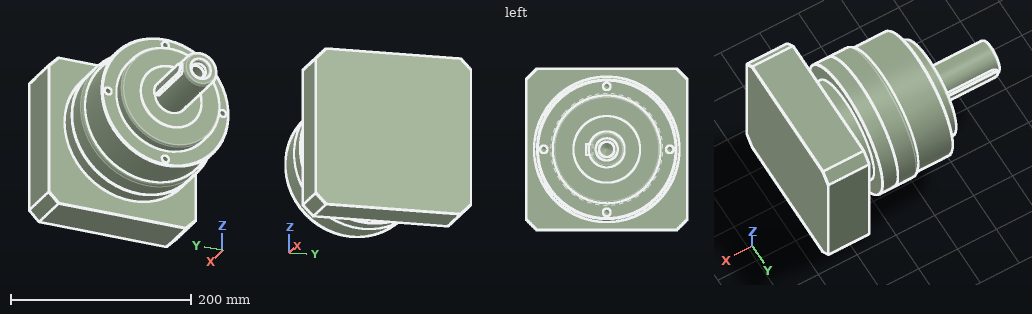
import cadquery as cq
import math


OVERALL_LENGTH = 263.0
COLLAR_FACE_X = 78.6
PILOT_FACE_X = 79.5
BODY_FACE_X = 94.5
FLANGE_START_X = 139.7
HOUSING_END_X = 167.5
RING_END_X = 187.8
PLATE_FACE_X = 209.5

SHAFT_RADIUS = 20.0
SHAFT_END_ROUND = 2.4
COLLAR_RADIUS = 37.0

CENTRE_MOUTH_RADIUS = 12.4
CENTRE_CONE_RADIUS = 10.8
CENTRE_BORE_RADIUS = 8.7
CENTRE_CORE_RADIUS = 8.5
CENTRE_CONE_HALF_ANGLE = 30.0
CENTRE_CONE_START = CENTRE_MOUTH_RADIUS - CENTRE_CONE_RADIUS
CENTRE_CONE_DROP = CENTRE_CONE_RADIUS - CENTRE_BORE_RADIUS
CENTRE_CONE_LENGTH = CENTRE_CONE_DROP / math.tan(math.radians(CENTRE_CONE_HALF_ANGLE))
CENTRE_BORE_START = CENTRE_CONE_START + CENTRE_CONE_LENGTH
CENTRE_CORE_START = 11.0
CENTRE_CORE_END = 42.0

KEY_START_X = 4.5
KEY_LENGTH = 70.2
KEY_WIDTH = 12.0
KEY_TOP_Y = 23.1
KEY_HEIGHT = 8.0
KEY_TOP_CHAMFER = 0.5

PILOT_RADIUS = 60.0
PILOT_EDGE_ROUND = 2.0
BODY_RADIUS = 77.5
BODY_EDGE_CHAMFER = 1.0
FLANGE_RADIUS = 81.0
FLANGE_EDGE_ROUND = 5.0

BOLT_COUNT = 4
BOLT_CIRCLE_RADIUS = 70.0
BOLT_HOLE_RADIUS = 4.2
BOLT_HOLE_DEPTH = 15.8

RING_EDGE_CHAMFER = 0.5
NECK_RADIUS = 62.3
PLATE_SIDE = 180.0
PLATE_CORNER_CHAMFER = 12.0
PLATE_EDGE_CHAMFER = 0.65

DRILL_POINT_ANGLE = 120.0


def drill_point_length(radius):
    return radius / math.tan(math.radians(DRILL_POINT_ANGLE / 2))


def turned(profile):
    """Revolve a profile in (X, radius) about the X axis."""
    return profile.close().revolve(360, (0, 0, 0), (1, 0, 0))


def cylinder(start_x, end_x, radius):
    return cq.Workplane("YZ", origin=(start_x, 0, 0)).circle(radius).extrude(end_x - start_x)


def make_key():
    """Parallel key with round ends, lying along the shaft."""
    return (
        cq.Workplane("XZ", origin=(KEY_START_X + KEY_LENGTH / 2, KEY_TOP_Y, 0))
        .slot2D(KEY_LENGTH, KEY_WIDTH)
        .extrude(KEY_HEIGHT)
        .faces(">Y")
        .chamfer(KEY_TOP_CHAMFER)
    )


def make_centre_hole():
    """Mouth chamfer, guide cone, bore, narrower core and drill point, all on the shaft axis."""
    tip_x = CENTRE_CORE_END + drill_point_length(CENTRE_CORE_RADIUS)
    return turned(
        cq.Workplane("XY")
        .lineTo(0, CENTRE_MOUTH_RADIUS)
        .lineTo(CENTRE_CONE_START, CENTRE_CONE_RADIUS)
        .lineTo(CENTRE_BORE_START, CENTRE_BORE_RADIUS)
        .lineTo(CENTRE_CORE_START, CENTRE_BORE_RADIUS)
        .lineTo(CENTRE_CORE_START, CENTRE_CORE_RADIUS)
        .lineTo(CENTRE_CORE_END, CENTRE_CORE_RADIUS)
        .lineTo(tip_x, 0)
    )


def make_shaft(key):
    """Output shaft with a collar that seats in the housing, a centre hole and a keyway."""
    journal = cylinder(0, BODY_FACE_X, SHAFT_RADIUS).faces("<X").edges().fillet(SHAFT_END_ROUND)
    collar = cylinder(COLLAR_FACE_X, BODY_FACE_X, COLLAR_RADIUS)
    return journal.union(collar).cut(make_centre_hole()).cut(key)


def make_bolt_hole(angle):
    tip_x = BODY_FACE_X + BOLT_HOLE_DEPTH + drill_point_length(BOLT_HOLE_RADIUS)
    hole = turned(
        cq.Workplane("XY")
        .moveTo(BODY_FACE_X, 0)
        .lineTo(BODY_FACE_X, BOLT_HOLE_RADIUS)
        .lineTo(BODY_FACE_X + BOLT_HOLE_DEPTH, BOLT_HOLE_RADIUS)
        .lineTo(tip_x, 0)
    )
    return hole.translate((0, BOLT_CIRCLE_RADIUS, 0)).rotate((0, 0, 0), (1, 0, 0), angle)


def make_flange():
    """Flange whose rounded front edge runs down onto the body; the round is wider than the step."""
    step = FLANGE_RADIUS - BODY_RADIUS
    round_centre_radius = FLANGE_RADIUS - FLANGE_EDGE_ROUND
    body_angle = math.acos((FLANGE_EDGE_ROUND - step) / FLANGE_EDGE_ROUND)
    round_centre_x = FLANGE_START_X + FLANGE_EDGE_ROUND * math.sin(body_angle)
    mid_point = (
        round_centre_x - FLANGE_EDGE_ROUND * math.sin(body_angle / 2),
        round_centre_radius + FLANGE_EDGE_ROUND * math.cos(body_angle / 2),
    )
    return turned(
        cq.Workplane("XY")
        .moveTo(FLANGE_START_X, 0)
        .lineTo(FLANGE_START_X, BODY_RADIUS)
        .threePointArc(mid_point, (round_centre_x, FLANGE_RADIUS))
        .lineTo(HOUSING_END_X, FLANGE_RADIUS)
        .lineTo(HOUSING_END_X, 0)
    )


def make_front_housing():
    pilot = cylinder(PILOT_FACE_X, BODY_FACE_X, PILOT_RADIUS).faces("<X").edges().fillet(PILOT_EDGE_ROUND)
    body = cylinder(BODY_FACE_X, FLANGE_START_X, BODY_RADIUS).faces("<X").chamfer(BODY_EDGE_CHAMFER)
    collar_seat = cylinder(PILOT_FACE_X, BODY_FACE_X, COLLAR_RADIUS)
    housing = pilot.union(body).union(make_flange()).cut(collar_seat)
    for index in range(BOLT_COUNT):
        housing = housing.cut(make_bolt_hole(index * 360 / BOLT_COUNT))
    return housing


def make_rear_housing():
    """Ring that continues the flange with both rims broken, a neck and the square motor plate."""
    ring = cylinder(HOUSING_END_X, RING_END_X, FLANGE_RADIUS).edges().chamfer(RING_EDGE_CHAMFER)
    neck = cylinder(RING_END_X, PLATE_FACE_X, NECK_RADIUS)
    plate = (
        cq.Workplane("YZ", origin=(PLATE_FACE_X, 0, 0))
        .rect(PLATE_SIDE, PLATE_SIDE)
        .extrude(OVERALL_LENGTH - PLATE_FACE_X)
        .edges("|X")
        .chamfer(PLATE_CORNER_CHAMFER)
        .faces("<X or >X")
        .chamfer(PLATE_EDGE_CHAMFER)
    )
    return ring.union(neck).union(plate)


key = make_key()
shaft = make_shaft(key)
front_housing = make_front_housing()
rear_housing = make_rear_housing()

result = cq.Compound.makeCompound(
    [shaft.val(), key.val(), front_housing.val(), rear_housing.val()]
)